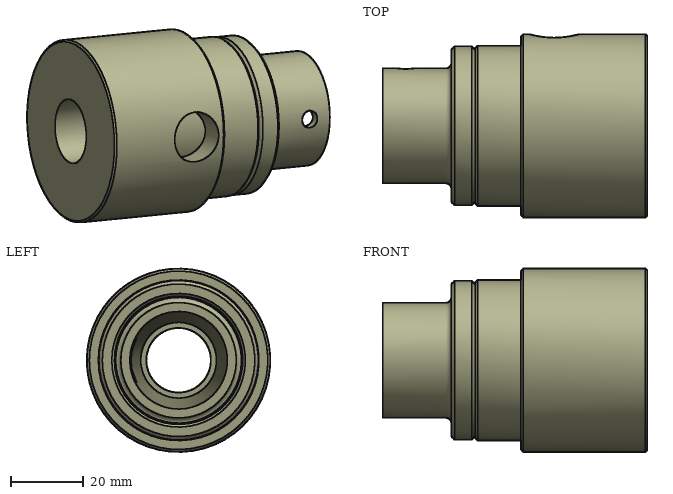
import cadquery as cq

TOTAL_LENGTH = 73.2
FRONT_FACE_X = 18.95
RING_END_X = 25.55
SHOULDER_X = 38.2
NOZZLE_END_X = 58.55

TUBE_DIAMETER = 31.9
BODY_DIAMETER = 35.5
BODY_CHAMFER = 0.4
TAPER_START_DIAMETER = 27.0
TAPER_END_DIAMETER = 20.9
CROSS_HOLE_DIAMETER = 4.75
CROSS_HOLE_X = 6.4

RING_DIAMETER = 44.05
RING_CHAMFER = 0.95
RING_BORE_CHAMFER = 0.7

NECK_DIAMETER = 44.4
NECK_CHAMFER = 0.7
SLEEVE_DIAMETER = 50.8
SHOULDER_CHAMFER = 0.7
END_CHAMFER = 0.5
BORE_DIAMETER = 17.8
PORT_DIAMETER = 13.9
PORT_X = 47.4


def revolve_about_x(profile):
    """Revolve a closed profile, drawn as (x, radius), about the X axis."""
    return profile.close().revolve(360, (0, 0, 0), (1, 0, 0))


def radial_cutter(x, diameter, reach):
    """Cylinder from the X axis outward along +Y."""
    return cq.Workplane("XZ", origin=(x, 0, 0)).circle(diameter / 2).extrude(-reach)


def make_nozzle():
    """Tube with a filleted root and a wider body seated in the ring and sleeve, tapered inside."""
    tube_radius = TUBE_DIAMETER / 2
    body_radius = BODY_DIAMETER / 2
    lip_radius = body_radius - BODY_CHAMFER
    root_fillet = lip_radius - tube_radius
    nozzle = revolve_about_x(
        cq.Workplane("XY")
        .moveTo(0, TAPER_START_DIAMETER / 2)
        .lineTo(0, tube_radius)
        .lineTo(FRONT_FACE_X - root_fillet, tube_radius)
        .radiusArc((FRONT_FACE_X, lip_radius), -root_fillet)
        .lineTo(FRONT_FACE_X + BODY_CHAMFER, body_radius)
        .lineTo(NOZZLE_END_X, body_radius)
        .lineTo(NOZZLE_END_X, TAPER_END_DIAMETER / 2)
    )
    return nozzle.cut(radial_cutter(CROSS_HOLE_X, CROSS_HOLE_DIAMETER, TUBE_DIAMETER))


def make_ring():
    """Ring around the nozzle body, chamfered outside and at its bore mouth."""
    outer_radius = RING_DIAMETER / 2
    bore_radius = BODY_DIAMETER / 2
    return revolve_about_x(
        cq.Workplane("XY")
        .moveTo(FRONT_FACE_X, bore_radius + RING_BORE_CHAMFER)
        .lineTo(FRONT_FACE_X, outer_radius - RING_CHAMFER)
        .lineTo(FRONT_FACE_X + RING_CHAMFER, outer_radius)
        .lineTo(RING_END_X - RING_CHAMFER, outer_radius)
        .lineTo(RING_END_X, outer_radius - RING_CHAMFER)
        .lineTo(RING_END_X, bore_radius)
        .lineTo(FRONT_FACE_X + RING_BORE_CHAMFER, bore_radius)
    )


def make_sleeve():
    """Stepped sleeve with a socket for the nozzle, an outlet bore and a port through its side wall."""
    neck_radius = NECK_DIAMETER / 2
    outer_radius = SLEEVE_DIAMETER / 2
    socket_radius = BODY_DIAMETER / 2
    bore_radius = BORE_DIAMETER / 2
    sleeve = revolve_about_x(
        cq.Workplane("XY")
        .moveTo(RING_END_X, socket_radius)
        .lineTo(RING_END_X, neck_radius - NECK_CHAMFER)
        .lineTo(RING_END_X + NECK_CHAMFER, neck_radius)
        .lineTo(SHOULDER_X, neck_radius)
        .lineTo(SHOULDER_X, outer_radius - SHOULDER_CHAMFER)
        .lineTo(SHOULDER_X + SHOULDER_CHAMFER, outer_radius)
        .lineTo(TOTAL_LENGTH - END_CHAMFER, outer_radius)
        .lineTo(TOTAL_LENGTH, outer_radius - END_CHAMFER)
        .lineTo(TOTAL_LENGTH, bore_radius)
        .lineTo(NOZZLE_END_X, bore_radius)
        .lineTo(NOZZLE_END_X, socket_radius)
    )
    return sleeve.cut(radial_cutter(PORT_X, PORT_DIAMETER, SLEEVE_DIAMETER))


nozzle = make_nozzle()
ring = make_ring()
sleeve = make_sleeve()

result = cq.Compound.makeCompound([nozzle.val(), ring.val(), sleeve.val()])